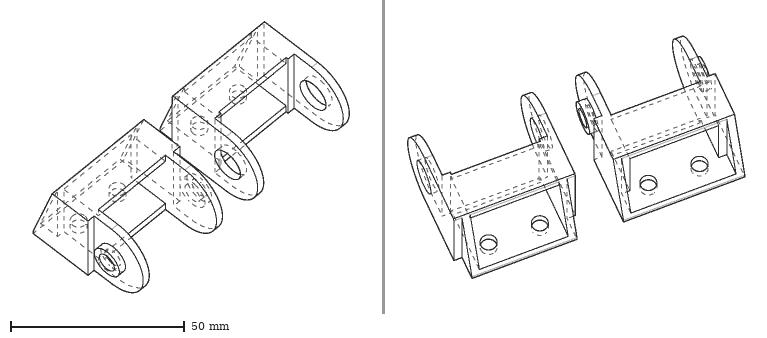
import cadquery as cq

height = 25.4
width = 38.05
layer = 2.55
floor_thickness = 2.8
roof_thickness = 2.8
wall_end_x = 22.1
plate_end_x = 21.3
front_lip = 1.15
slope_end_x = 7.7
ear_start_x = 7.4

ear_end_x = 41.8
ear_radius = height / 2
ear_center_x = ear_end_x - ear_radius
pivot_x = 29.7
pivot_z = height / 2
boss_radius = 5.0
boss_length = layer
boss_overhang = 0.3
boss_bore_radius = 3.0
pivot_hole_radius = 5.2

screw_radius = 2.5
screw_x = 7.7
screw_spacing = 16.0

total_length = 88.1
socket_start_y = total_length - width


def block(x_range, y_range, z_range):
    """Box between pairs of limits along the three axes."""
    (x0, x1), (y0, y1), (z0, z1) = x_range, y_range, z_range
    return cq.Workplane("XY").box(x1 - x0, y1 - y0, z1 - z0, centered=False).translate((x0, y0, z0))


def side_plate(y_start):
    """Frame side wall with a sloping front."""
    outline = [(0, 0), (wall_end_x, 0), (wall_end_x, height), (slope_end_x, height), (0, front_lip)]
    return cq.Workplane("XZ", origin=(0, y_start, 0)).polyline(outline).close().extrude(-layer)


def front_slope_waste():
    """Material ahead of the sloping front."""
    outline = [(0, front_lip), (slope_end_x, height), (0, height)]
    return cq.Workplane("XZ").polyline(outline).close().extrude(-width)


def ear(y_start):
    """Plate with a round rear end."""
    return (
        cq.Workplane("XZ", origin=(0, y_start, 0))
        .moveTo(ear_start_x, 0)
        .lineTo(ear_center_x, 0)
        .threePointArc((ear_end_x, ear_radius), (ear_center_x, height))
        .lineTo(ear_start_x, height)
        .close()
        .extrude(-layer)
    )


def pivot_cylinder(radius, y_start, length):
    """Cylinder on the pivot axis, running towards +Y."""
    return cq.Workplane("XZ", origin=(pivot_x, y_start, pivot_z)).circle(radius).extrude(-length)


def base_bracket(wall_inset, ear_inset):
    """Frame and ears, each set in by its own distance from the two sides."""
    near, far = wall_inset, width - wall_inset
    body = block((0, plate_end_x), (near, far), (0, floor_thickness))
    roof = block((ear_start_x, plate_end_x), (near, far), (height - roof_thickness, height))
    body = body.union(roof)
    for y_start in (near, far - layer):
        body = body.union(side_plate(y_start))
    for y_start in (ear_inset, width - ear_inset - layer):
        body = body.union(ear(y_start))
    body = body.cut(front_slope_waste())
    return cut_screw_holes(body)


def cut_screw_holes(body):
    """Two holes through the floor."""
    for side in (-1, 1):
        center_y = width / 2 + side * screw_spacing / 2
        hole = cq.Workplane("XY").center(screw_x, center_y).circle(screw_radius).extrude(floor_thickness)
        body = body.cut(hole)
    return body


def pin_bracket():
    """Bracket with ears inside its walls and bored bosses outside the ears."""
    body = base_bracket(wall_inset=0, ear_inset=layer)
    far_ear_face = width - layer
    far_boss_length = boss_length + boss_overhang
    for y_start, length in ((0, boss_length), (far_ear_face, far_boss_length)):
        body = body.union(pivot_cylinder(boss_radius, y_start, length))
        body = body.cut(pivot_cylinder(boss_bore_radius, y_start, length))
    return body


def socket_bracket():
    """Bracket with ears outside its walls and a pivot hole through each ear."""
    body = base_bracket(wall_inset=layer, ear_inset=0)
    body = body.cut(pivot_cylinder(pivot_hole_radius, 0, width))
    return body.translate((0, socket_start_y, 0))


result = cq.Compound.makeCompound([pin_bracket().val(), socket_bracket().val()])